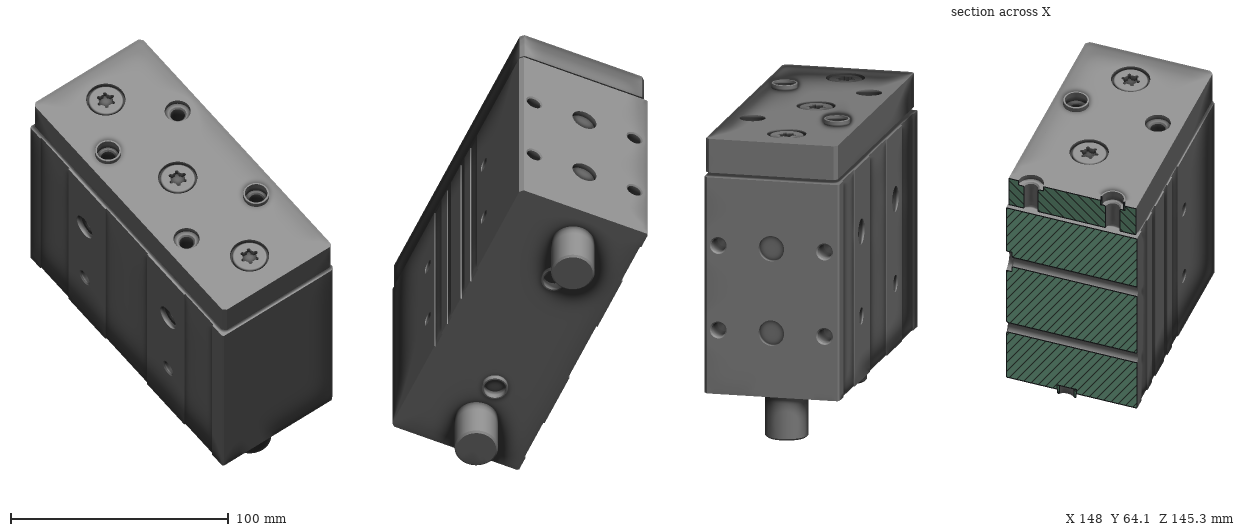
import cadquery as cq
import math

width = 148.0
depth = 64.1
housing_height = 102.3
rear_chamfer = 1.6
front_chamfer = 0.7
relief_depth = 0.6
front_relief_spans = [(-65.9, -44.4), (-16.0, 16.0), (44.4, 65.9)]
rear_relief_spans = [(-24.3, -16.5), (-10.2, -5.6), (5.6, 10.2), (16.5, 24.3)]

plate_gap = 2.0
plate_width = 146.5
plate_depth = 62.3
plate_shift_y = 0.3
plate_thickness = 16.0
plate_chamfer = 1.6

rod_y = -2.5
guide_x = 55.0
guide_diameter = 20.0
guide_overhang = 22.6
guide_chamfer = 0.9
piston_rod_diameter = 14.0

thread_diameter = 6.7
thread_mouth_diameter = 8.0
seat_diameter = 12.0
seat_depth = 2.5
port_recess_depth = 2.7

hole_low_z = 30.3
hole_pitch_z = 40.0
front_hole_x = 32.0
side_hole_y = 25.2
side_hole_depth = 11.8
drill_tip_angle = 118.0

plate_hole_x = 30.0
plate_hole_y = 20.0

screw_recess_diameter = 18.0
screw_recess_depth = 2.2
screw_head_diameter = 16.0
screw_head_drop = 0.5
screw_head_fillet = 0.9
star_core_radius = 3.3
star_lobe_circle = 3.5
star_lobe_radius = 0.9
star_lobes = 6
star_depth = 3.0

sleeve_bore = 10.4
sleeve_protrusion = 2.4
sleeve_chamfer = 0.1
base_sleeve_x = 33.9

hole_levels = [hole_low_z, hole_low_z + hole_pitch_z]
plate_bottom = housing_height + plate_gap
plate_top = plate_bottom + plate_thickness
screw_places = [(-guide_x, rod_y), (0, rod_y), (guide_x, rod_y)]
plate_hole_places = [
    (side_x * plate_hole_x, side_y * plate_hole_y) for side_x in (-1, 1) for side_y in (-1, 1)
]
plate_sleeve_places = [(-plate_hole_x, -plate_hole_y), (plate_hole_x, plate_hole_y)]
base_sleeve_places = [(-base_sleeve_x, rod_y), (base_sleeve_x, rod_y)]

X_AXIS = cq.Vector(1, 0, 0)
Y_AXIS = cq.Vector(0, 1, 0)
DOWN = cq.Vector(0, 0, -1)
UP = cq.Vector(0, 0, 1)


def cylinder(diameter, length, start, direction):
    """A round bar that begins at start and runs along direction."""
    return cq.Solid.makeCylinder(diameter / 2, length, cq.Vector(*start), direction)


def thread_mouth(start, direction):
    """The 45 degree countersink at the mouth of a threaded hole."""
    cone_height = (thread_mouth_diameter - thread_diameter) / 2
    return cq.Solid.makeCone(
        thread_mouth_diameter / 2, thread_diameter / 2, cone_height, cq.Vector(*start), direction
    )


def housing_blank():
    block = cq.Workplane("XY").box(width, depth, housing_height, centered=(True, True, False))
    block = block.edges("|Z and >Y").chamfer(rear_chamfer)
    return block.edges("|Z and <Y").chamfer(front_chamfer)


def face_reliefs(spans, face_y):
    """Shallow full-height grooves on the broad face at face_y."""
    grooves = cq.Workplane("XY")
    for left, right in spans:
        groove = cq.Workplane("XY").box(
            right - left, 2 * relief_depth, housing_height, centered=(True, True, False)
        )
        grooves = grooves.add(groove.translate(((left + right) / 2, face_y, 0)))
    return grooves.combine()


def cut_front_holes(body):
    """Four through holes along Y; the upper pair has counterbores."""
    for x in (-front_hole_x, front_hole_x):
        for z in hole_levels:
            start = (x, -depth / 2, z)
            body = body.cut(cq.Workplane(cylinder(thread_diameter, depth, start, Y_AXIS)))
            mouth_start = start
            if z == hole_levels[1]:
                body = body.cut(cq.Workplane(cylinder(seat_diameter, seat_depth, start, Y_AXIS)))
                mouth_start = (x, -depth / 2 + seat_depth, z)
            body = body.cut(cq.Workplane(thread_mouth(mouth_start, Y_AXIS)))
    return body


def cut_side_holes(body):
    """Four blind drilled holes and two flat round recesses in the -X face."""
    tip_height = thread_diameter / 2 / math.tan(math.radians(drill_tip_angle / 2))
    for z in hole_levels:
        body = body.cut(cq.Workplane(cylinder(seat_diameter, port_recess_depth, (-width / 2, 0, z), X_AXIS)))
        for y in (-side_hole_y, side_hole_y):
            start = (-width / 2, y, z)
            tip_start = cq.Vector(-width / 2 + side_hole_depth, y, z)
            tip = cq.Solid.makeCone(thread_diameter / 2, 0, tip_height, tip_start, X_AXIS)
            body = body.cut(cq.Workplane(cylinder(thread_diameter, side_hole_depth, start, X_AXIS)))
            body = body.cut(cq.Workplane(tip))
            body = body.cut(cq.Workplane(thread_mouth(start, X_AXIS)))
    return body


def cut_guide_bores(body):
    for x in (-guide_x, guide_x):
        body = body.cut(cq.Workplane(cylinder(guide_diameter, housing_height, (x, rod_y, 0), UP)))
    return body


def cut_base_seats(body):
    for x, y in base_sleeve_places:
        body = body.cut(cq.Workplane(cylinder(seat_diameter, seat_depth, (x, y, 0), UP)))
    return body


def make_housing():
    body = housing_blank()
    body = body.cut(face_reliefs(front_relief_spans, -depth / 2))
    body = body.cut(face_reliefs(rear_relief_spans, depth / 2))
    body = cut_front_holes(body)
    body = cut_side_holes(body)
    body = cut_guide_bores(body)
    return cut_base_seats(body)


def star_socket(x, y, top):
    """Six-lobed drive socket with two lobes on the Y direction."""
    floor = top - star_depth
    socket = cq.Workplane(cylinder(2 * star_core_radius, star_depth, (x, y, floor), UP))
    for i in range(star_lobes):
        angle = math.pi / 2 + i * 2 * math.pi / star_lobes
        lobe_x = x + star_lobe_circle * math.cos(angle)
        lobe_y = y + star_lobe_circle * math.sin(angle)
        lobe = cylinder(2 * star_lobe_radius, star_depth, (lobe_x, lobe_y, floor), UP)
        socket = socket.union(cq.Workplane(lobe))
    return socket


def add_screw_head(plate, x, y):
    """A rounded screw head standing in a round recess of the plate."""
    recess_floor = plate_top - screw_recess_depth
    head_top = plate_top - screw_head_drop
    recess = cylinder(screw_recess_diameter, screw_recess_depth, (x, y, recess_floor), UP)
    head = cylinder(screw_head_diameter, head_top - recess_floor, (x, y, recess_floor), UP)
    head = cq.Workplane(head).faces(">Z").edges().fillet(screw_head_fillet)
    return plate.cut(cq.Workplane(recess)).union(head).cut(star_socket(x, y, head_top))


def cut_plate_holes(plate):
    """Four threaded through holes with counterbores in the top face."""
    for x, y in plate_hole_places:
        seat_floor = (x, y, plate_top - seat_depth)
        plate = plate.cut(cq.Workplane(cylinder(thread_diameter, plate_thickness, (x, y, plate_top), DOWN)))
        plate = plate.cut(cq.Workplane(cylinder(seat_diameter, seat_depth, (x, y, plate_top), DOWN)))
        plate = plate.cut(cq.Workplane(thread_mouth(seat_floor, DOWN)))
    return plate


def make_yoke():
    plate = cq.Workplane("XY").box(plate_width, plate_depth, plate_thickness, centered=(True, True, False))
    plate = plate.edges("|Z").chamfer(plate_chamfer)
    plate = plate.translate((0, plate_shift_y, plate_bottom))
    plate = cut_plate_holes(plate)
    for x, y in screw_places:
        plate = add_screw_head(plate, x, y)
    neck = cylinder(piston_rod_diameter, plate_gap, (0, rod_y, housing_height), UP)
    return plate.union(cq.Workplane(neck))


def make_guide(x):
    """Guide from the plate underside through the housing, chamfered at its free end."""
    rod = cylinder(guide_diameter, plate_bottom + guide_overhang, (x, rod_y, -guide_overhang), UP)
    return cq.Workplane(rod).faces("<Z").edges().chamfer(guide_chamfer)


def make_sleeve(x, y, seat_floor, direction):
    """Tube that stands on seat_floor and rises along direction, chamfered at both ends."""
    length = seat_depth + sleeve_protrusion
    tube = cq.Workplane(cylinder(seat_diameter, length, (x, y, seat_floor), direction))
    tube = tube.faces("<Z or >Z").edges().chamfer(sleeve_chamfer)
    return tube.cut(cq.Workplane(cylinder(sleeve_bore, length, (x, y, seat_floor), direction)))


housing = make_housing()
yoke = make_yoke()
guides = [make_guide(x) for x in (-guide_x, guide_x)]
plate_sleeves = [make_sleeve(x, y, plate_top - seat_depth, UP) for x, y in plate_sleeve_places]
base_sleeves = [make_sleeve(x, y, seat_depth, DOWN) for x, y in base_sleeve_places]

result = cq.Compound.makeCompound(
    [housing.val(), yoke.val()] + [body.val() for body in guides + plate_sleeves + base_sleeves]
)